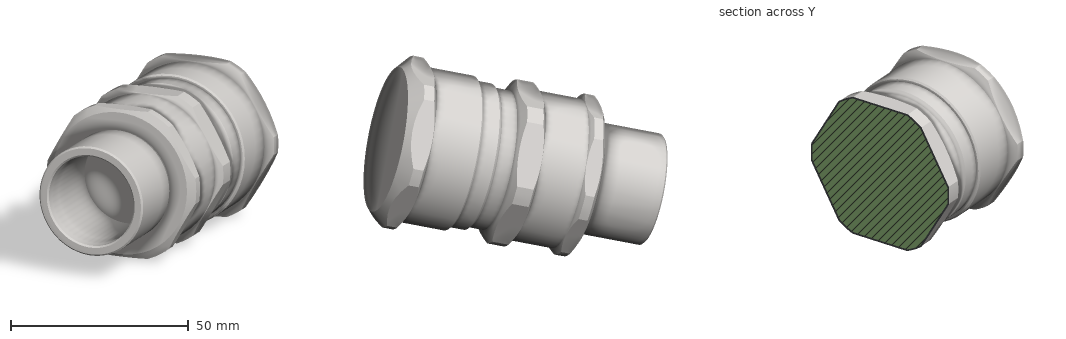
import cadquery as cq
import math

total_length = 78.35
big_nut_end = 8.0
sleeve_end = 21.9
collar_end = 28.05
middle_nut_start = 32.5
middle_nut_end = 40.4
front_nut_start = 53.2
front_nut_end = 58.3
relief_end = 59.3

sleeve_diameter = 44.4
collar_diameter = 42.0
neck_diameter = 40.0
body_diameter = 42.9
relief_diameter = 31.0
spigot_diameter = 32.0
bore_diameter = 26.2

big_nut_flats = 45.0
big_nut_corners = 49.2
small_nut_flats = 43.2
middle_nut_corners = 47.0
front_nut_corners = 46.15
nut_face_diameter = 41.5

big_nut_rear_chamfer = 3.6
big_nut_front_chamfer = 1.4
middle_nut_rear_chamfer = 1.9
middle_nut_front_chamfer = 1.2
front_nut_rear_chamfer = 1.2
front_nut_front_chamfer = 1.25

small_chamfer = 0.5
collar_chamfer = (collar_diameter - neck_diameter) / 2

bore_depth = total_length - front_nut_start

rear_y = total_length / 2


def station_plane(station):
    """Plane normal to the axis, facing forward, at a distance from the rear face."""
    return cq.Workplane("XZ", origin=(0, rear_y - station, 0))


def cylinder(start, end, diameter):
    return station_plane(start).circle(diameter / 2).extrude(end - start)


def hex_nut(start, end, flats, corners, rear_face, rear_chamfer, front_face, front_chamfer):
    """Hexagon with flats facing +Z and -Z, its corners turned round and coned at both ends."""
    corner_to_corner = flats / math.cos(math.pi / 6)
    prism = station_plane(start).polygon(6, corner_to_corner).extrude(end - start)
    y_start = rear_y - start
    y_end = rear_y - end
    envelope = (
        cq.Workplane("XY")
        .moveTo(0, y_start)
        .lineTo(rear_face / 2, y_start)
        .lineTo(corners / 2, y_start - rear_chamfer)
        .lineTo(corners / 2, y_end + front_chamfer)
        .lineTo(front_face / 2, y_end)
        .lineTo(0, y_end)
        .close()
        .revolve(360, (0, 0, 0), (0, 1, 0))
    )
    return prism.intersect(envelope)


big_nut = hex_nut(
    0, big_nut_end, big_nut_flats, big_nut_corners,
    nut_face_diameter, big_nut_rear_chamfer, sleeve_diameter, big_nut_front_chamfer,
)
middle_nut = hex_nut(
    middle_nut_start, middle_nut_end, small_nut_flats, middle_nut_corners,
    neck_diameter, middle_nut_rear_chamfer, body_diameter, middle_nut_front_chamfer,
)
front_nut = hex_nut(
    front_nut_start, front_nut_end, small_nut_flats, front_nut_corners,
    body_diameter, front_nut_rear_chamfer, nut_face_diameter, front_nut_front_chamfer,
)

sleeve = cylinder(big_nut_end, sleeve_end, sleeve_diameter).faces("<Y").chamfer(small_chamfer)
collar = cylinder(sleeve_end, collar_end, collar_diameter).faces("<Y").chamfer(collar_chamfer)
neck = cylinder(collar_end, middle_nut_start, neck_diameter)
body = cylinder(middle_nut_end, front_nut_start, body_diameter)
relief = cylinder(front_nut_end, relief_end, relief_diameter)
spigot = cylinder(relief_end, total_length, spigot_diameter).faces("<Y or >Y").chamfer(small_chamfer)

result = big_nut
for section in (sleeve, collar, neck, middle_nut, body, front_nut, relief, spigot):
    result = result.union(section)

bore = cylinder(total_length - bore_depth, total_length, bore_diameter)
mouth = (
    station_plane(total_length)
    .circle(bore_diameter / 2 + small_chamfer)
    .workplane(offset=-small_chamfer)
    .circle(bore_diameter / 2)
    .loft()
)
result = result.cut(bore).cut(mouth)